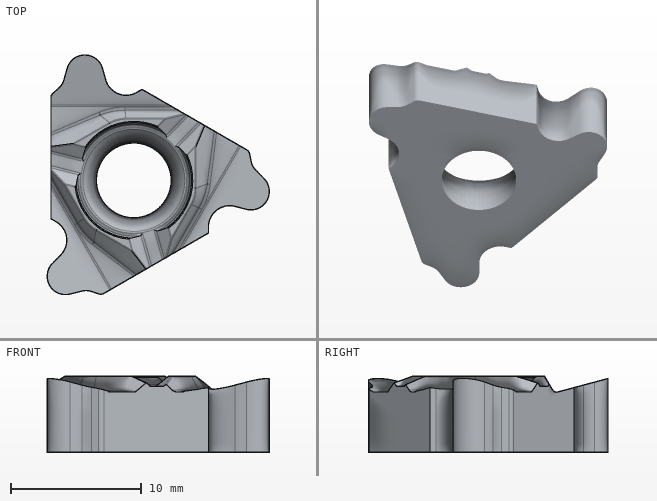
import cadquery as cq
import math

CORNERS = 3
CORNER_STEP = 360 / CORNERS

height = 5.83
inscribed_radius = 6.35
floor_height = 4.62
blank_radius = 12.84
pick_margin = 0.02

nose = (-3.75, 8.18, 1.41)
notch = (-0.59, 8.12, 1.61)
relief = (-6.6, 8.03, 1.3)
shoulder_radius = 0.51
shoulder = (-inscribed_radius + shoulder_radius, 6.29, shoulder_radius)
notch_exit_angle = 30

rake_start = 5.7
rake_angle = 15
rake_blend_radius = 0.5

boss_top_distance = 4.73
boss_top_slant = 30
boss_top_round = 2.5
steep_base_distance = 5.45
slant_base_distance = 5.69
boss_base_slant = 22.5
boss_base_round = 5.14
boss_base_fillet = 0.3
boss_top_edge_round = 0.1

slot_direction = 165.8
slot_floor_height = 5.05
slot_floor_width = 1.1
slot_wall_angle = 52
slot_fillet = 0.28
slot_edge_round = 0.07
slot_inner_end = 1.83

hole_radius = 5.7 / 2
throat_height = 2.05
bell_radius = 4.58
ledge_height = slot_floor_height
ledge_round = 0.18
rim_wall_foot_radius = 4.24
rim_wall_head_radius = 4.42
rim_chamfer = 0.1


def rotated(point, degrees):
    angle = math.radians(degrees)
    x, y = point
    return (x * math.cos(angle) - y * math.sin(angle), x * math.sin(angle) + y * math.cos(angle))


def polar(radius, degrees):
    return rotated((radius, 0), degrees)


def shifted(circle, radius, degrees):
    """Point at a polar offset from the centre of a circle."""
    dx, dy = polar(radius, degrees)
    return (circle[0] + dx, circle[1] + dy)


def crossing_tangent(first, second, side):
    """End points of the line touching two circles on opposite sides.

    The line leaves the first circle to the left (side 1) or the right (side -1)
    of the direction towards the second circle.
    """
    dx, dy = second[0] - first[0], second[1] - first[1]
    lean = math.degrees(math.acos((first[2] + second[2]) / math.hypot(dx, dy)))
    bearing = math.degrees(math.atan2(dy, dx)) + side * lean
    return shifted(first, first[2], bearing), shifted(second, second[2], bearing + 180)


def line_crossing(distance_a, normal_a, distance_b, normal_b):
    """Crossing of two lines given by their distance from the origin and normal direction."""
    a, b = math.radians(normal_a), math.radians(normal_b)
    det = math.sin(b - a)
    x = (distance_a * math.sin(b) - distance_b * math.sin(a)) / det
    y = (distance_b * math.cos(a) - distance_a * math.cos(b)) / det
    return (x, y)


def around(shape):
    """The shape combined with its copies at all corners."""
    combined = shape
    for k in range(1, CORNERS):
        combined = combined.union(shape.rotate((0, 0, 0), (0, 0, 1), k * CORNER_STEP))
    return combined


def make_blank():
    """Prism over the outline of the insert."""
    shoulder_end, relief_start = crossing_tangent(shoulder, relief, 1)
    relief_end, nose_start = crossing_tangent(relief, nose, -1)
    nose_end, notch_start = crossing_tangent(nose, notch, 1)
    notch_end = shifted(notch, notch[2], notch_exit_angle - 90)
    exit_normal = notch_exit_angle + 90
    exit_distance = rotated(notch_end, -exit_normal)[0]
    corner_end = line_crossing(inscribed_radius, 180 - CORNER_STEP, exit_distance, exit_normal)

    outline = cq.Workplane("XY").moveTo(*rotated(corner_end, CORNER_STEP))
    for k in range(CORNERS):
        turn = -k * CORNER_STEP
        outline = (
            outline.lineTo(*rotated((-inscribed_radius, shoulder[1]), turn))
            .tangentArcPoint(rotated(shoulder_end, turn), relative=False)
            .lineTo(*rotated(relief_start, turn))
            .tangentArcPoint(rotated(relief_end, turn), relative=False)
            .lineTo(*rotated(nose_start, turn))
            .tangentArcPoint(rotated(nose_end, turn), relative=False)
            .lineTo(*rotated(notch_start, turn))
            .tangentArcPoint(rotated(notch_end, turn), relative=False)
        )
        if k < CORNERS - 1:
            outline = outline.lineTo(*rotated(corner_end, turn))
    return outline.close().extrude(height)


def make_rake_ramp():
    """Ramp under the rake face of the corner at the +Y end, blended into the floor."""
    slope = math.radians(rake_angle)
    blend_length = rake_blend_radius * math.tan(slope / 2)
    run = blank_radius - rake_start
    blend_end = (
        rake_start + blend_length * math.cos(slope),
        floor_height + blend_length * math.sin(slope),
    )
    return (
        cq.Workplane("YZ")
        .moveTo(rake_start - blend_length, 0)
        .lineTo(blank_radius, 0)
        .lineTo(blank_radius, floor_height + run * math.tan(slope))
        .lineTo(*blend_end)
        .threePointArc(
            (
                rake_start - blend_length + rake_blend_radius * math.sin(slope / 2),
                floor_height + rake_blend_radius * (1 - math.cos(slope / 2)),
            ),
            (rake_start - blend_length, floor_height),
        )
        .close()
        .extrude(blank_radius, both=True)
    )


def boss_section(level, steep_distance, slant_distance, slant, round_radius):
    """Closed outline of the boss at one level."""
    steep_normal = 90
    slant_normal = steep_normal + slant
    knee = line_crossing(slant_distance, slant_normal, steep_distance, steep_normal)
    setback = round_radius * math.tan(math.radians(slant) / 2)
    knee_start = shifted(knee, setback, slant_normal + 90)
    knee_end = shifted(knee, setback, 0)
    corner = line_crossing(
        steep_distance, steep_normal, slant_distance, slant_normal - CORNER_STEP
    )

    section = cq.Workplane("XY", origin=(0, 0, level)).moveTo(*rotated(corner, CORNER_STEP))
    for k in range(CORNERS):
        turn = -k * CORNER_STEP
        section = section.lineTo(*rotated(knee_start, turn)).tangentArcPoint(
            rotated(knee_end, turn), relative=False
        )
        if k < CORNERS - 1:
            section = section.lineTo(*rotated(corner, turn))
    return section.close().val()


def make_boss_on_floor():
    """Floor plate carrying the boss, with a fillet around the foot of the boss."""
    base = boss_section(
        floor_height, steep_base_distance, slant_base_distance, boss_base_slant, boss_base_round
    )
    top = boss_section(
        height, boss_top_distance, boss_top_distance, boss_top_slant, boss_top_round
    )
    boss = cq.Workplane(cq.Solid.makeLoft([base, top], True))
    plate = cq.Workplane("XY").circle(blank_radius).extrude(floor_height)
    foot_reach = 0.75 * blank_radius
    foot_edges = cq.selectors.BoxSelector(
        (-foot_reach, -foot_reach, floor_height - pick_margin),
        (foot_reach, foot_reach, floor_height + pick_margin),
    )
    filleted = plate.union(boss).edges(foot_edges).fillet(boss_base_fillet)
    return filleted.faces(">Z").edges().fillet(boss_top_edge_round)


def make_slot():
    """Radial cutter with sloping walls and filleted floor corners."""
    depth = height - slot_floor_height
    half_floor = slot_floor_width / 2
    half_top = half_floor + depth * math.tan(math.radians(slot_wall_angle))
    return (
        cq.Workplane("YZ", origin=(slot_inner_end, 0, slot_floor_height))
        .polyline([(-half_floor, 0), (half_floor, 0), (half_top, depth), (-half_top, depth)])
        .close()
        .extrude(blank_radius - slot_inner_end)
        .edges("|X and <Z")
        .fillet(slot_fillet)
        .rotate((0, 0, 0), (0, 0, 1), slot_direction)
    )


def make_hole():
    """Bell-mouthed hole with a stepped rim."""
    span = math.asin((ledge_height - throat_height) / bell_radius)
    bell_middle = (
        hole_radius + bell_radius * (1 - math.cos(span / 2)),
        throat_height + bell_radius * math.sin(span / 2),
    )
    bell_rim = (hole_radius + bell_radius * (1 - math.cos(span)), ledge_height)
    hole = (
        cq.Workplane("XZ")
        .moveTo(0, 0)
        .lineTo(hole_radius, 0)
        .lineTo(hole_radius, throat_height)
        .threePointArc(bell_middle, bell_rim)
        .lineTo(rim_wall_foot_radius, ledge_height)
        .lineTo(rim_wall_head_radius, height - rim_chamfer)
        .lineTo(rim_wall_head_radius + rim_chamfer, height)
        .lineTo(0, height)
        .close()
        .revolve(360, (0, 0, 0), (0, 1, 0))
    )
    ledge_rims = cq.selectors.BoxSelector(
        (-pick_margin, -pick_margin, ledge_height - pick_margin),
        (pick_margin, pick_margin, ledge_height + pick_margin),
    )
    return hole.edges(ledge_rims).fillet(ledge_round)


top_form = make_boss_on_floor().union(around(make_rake_ramp()))
result = make_blank().intersect(top_form).cut(around(make_slot())).cut(make_hole())
result = result.faces(">Z").edges("%LINE").fillet(slot_edge_round)